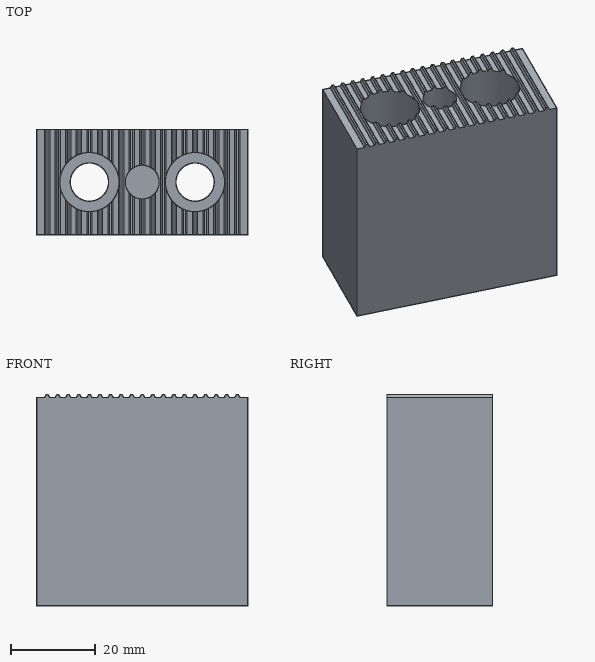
import cadquery as cq

length = 50.0
width = 25.0
height = 50.0

ridge_pitch = 2.5
ridge_height = 0.7
ridge_base_width = 1.25
ridge_tip_width = 0.45
ridge_count = 19
body_height = height - ridge_height

bolt_hole_diameter = 9.0
counterbore_diameter = 14.0
counterbore_depth = height / 2
bolt_spacing = length / 2

centre_hole_diameter = 8.0
centre_hole_depth = height / 2


def serrated_block():
    """Block whose end profile carries a row of trapezoidal ridges on top."""
    outline = [(-length / 2, 0), (-length / 2, body_height)]
    for index in range(ridge_count):
        centre = (index - (ridge_count - 1) / 2) * ridge_pitch
        outline += [
            (centre - ridge_base_width / 2, body_height),
            (centre - ridge_tip_width / 2, height),
            (centre + ridge_tip_width / 2, height),
            (centre + ridge_base_width / 2, body_height),
        ]
    outline += [(length / 2, body_height), (length / 2, 0)]
    return cq.Workplane("XZ").polyline(outline).close().extrude(width / 2, both=True)


def top_plane():
    """Work plane at the ridge tips, looking down on the block."""
    return cq.Workplane("XY", origin=(0, 0, height))


def bolt_holes():
    """Two through holes with deep counterbores."""
    positions = [(-bolt_spacing / 2, 0), (bolt_spacing / 2, 0)]
    shanks = top_plane().pushPoints(positions).circle(bolt_hole_diameter / 2).extrude(-height)
    heads = top_plane().pushPoints(positions).circle(counterbore_diameter / 2).extrude(-counterbore_depth)
    return shanks.union(heads)


def centre_hole():
    """Flat-bottomed blind hole."""
    return top_plane().circle(centre_hole_diameter / 2).extrude(-centre_hole_depth)


result = serrated_block().cut(bolt_holes()).cut(centre_hole())